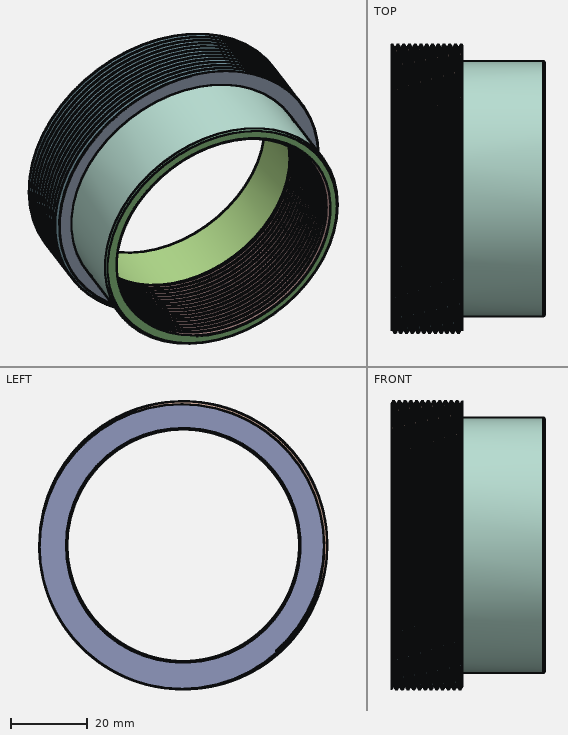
import cadquery as cq
import math

total_length = 40.0
collar_length = 18.45
collar_radius = 37.5
sleeve_radius = 33.3
bore_radius = 30.15
sleeve_chamfer = 0.5
bore_chamfer = 0.4

pitch = 1.5
flank_angle = math.radians(30)
outer_thread_depth = 0.9
outer_root_flat = 0.26
outer_crest_offset = 0.19
inner_thread_depth = 0.8
inner_root_flat = 0.19
inner_thread_start = 16.0
inner_crest_offset = 0.75

overcut = 0.1


def revolved(outline):
    """Solid of revolution about X from (x, radius) points."""
    return cq.Workplane("XY").polyline(outline).close().revolve(360, (0, 0, 0), (1, 0, 0))


def thread_groove(surface_radius, root_radius, root_flat, start, turns):
    """Helical groove about X; its profile is centred at X = start on the +Y side."""
    mouth_direction = math.copysign(1, surface_radius - root_radius)
    mouth_radius = surface_radius + mouth_direction * overcut
    root_half = root_flat / 2
    mouth_half = root_half + abs(mouth_radius - root_radius) * math.tan(flank_angle)
    profile = [
        (root_radius, -root_half),
        (mouth_radius, -mouth_half),
        (mouth_radius, mouth_half),
        (root_radius, root_half),
    ]
    helix = cq.Workplane("XY").add(cq.Wire.makeHelix(pitch, turns * pitch, root_radius))
    groove = cq.Workplane("XZ").polyline(profile).close().sweep(helix, isFrenet=True)
    return groove.rotate((0, 0, 0), (1, 1, 1), 120).translate((start, 0, 0))


def threaded_tube(outline, first_crest, surface_radius, root_radius, root_flat):
    """Tube of the given section, with a thread that runs out through both ends.

    The groove is cut in a longer blank, which is then trimmed to the section.
    """
    x_positions = [x for x, radius in outline]
    radii = [radius for x, radius in outline]
    groove_start = min(x_positions) + first_crest - 1.5 * pitch
    turns = math.ceil((max(x_positions) - groove_start) / pitch) + 1
    blank_start = groove_start - 2 * pitch
    blank_end = groove_start + (turns + 2) * pitch
    blank = revolved([
        (blank_start, min(radii)),
        (blank_start, max(radii)),
        (blank_end, max(radii)),
        (blank_end, min(radii)),
    ])
    groove = thread_groove(surface_radius, root_radius, root_flat, groove_start, turns)
    return blank.cut(groove).intersect(revolved(outline))


def collar():
    """Outer ring with the external thread over its whole length."""
    outline = [
        (0, sleeve_radius),
        (0, collar_radius),
        (collar_length, collar_radius),
        (collar_length, sleeve_radius),
    ]
    root_radius = collar_radius - outer_thread_depth
    return threaded_tube(outline, outer_crest_offset, collar_radius, root_radius, outer_root_flat)


def plain_bore():
    """Smooth entry of the bore, chamfered at its mouth."""
    return revolved([
        (0, bore_radius + bore_chamfer),
        (0, sleeve_radius),
        (inner_thread_start, sleeve_radius),
        (inner_thread_start, bore_radius),
        (bore_chamfer, bore_radius),
    ])


def threaded_sleeve():
    """Rear tube, internally threaded, with a chamfered outer edge."""
    outline = [
        (inner_thread_start, bore_radius),
        (inner_thread_start, sleeve_radius),
        (total_length - sleeve_chamfer, sleeve_radius),
        (total_length, sleeve_radius - sleeve_chamfer),
        (total_length, bore_radius),
    ]
    root_radius = bore_radius + inner_thread_depth
    return threaded_tube(outline, inner_crest_offset, bore_radius, root_radius, inner_root_flat)


result = collar().union(plain_bore()).union(threaded_sleeve())